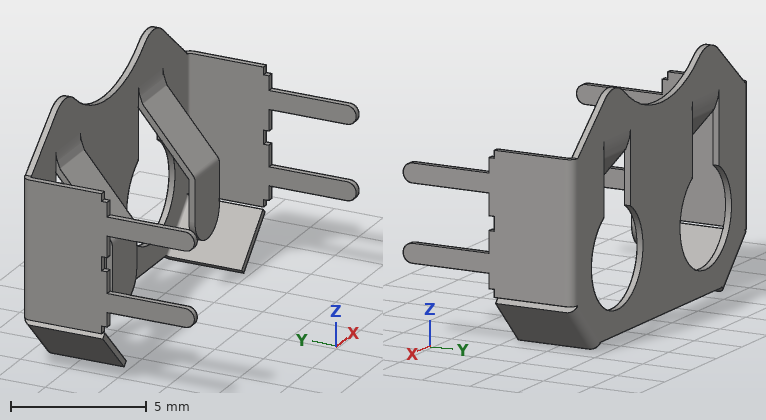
import cadquery as cq
import math


sheet = 0.25
inner_bend = 0.10
outer_bend = inner_bend + sheet

width = 13.72
depth = 7.11
height = 9.65

wall_height = 5.588
flange_depth = 3.302
corner_cut = 1.78
corner_angle = 45

shoulder_depth = 3.53
shoulder_inset = 0.305
notch_width = 0.56
pin_width = 0.762
pin_inset = 1.27

bend_x = width / 2 - outer_bend
wall_bottom = corner_cut
wall_top = wall_bottom + wall_height
plate_top = height - outer_bend * math.sin(math.radians(corner_angle))
slope_angle = math.radians(40)
hump_radius = 1.143

tongue_x = 3.44
tongue_width = 2.032
tongue_top = 7.55
tongue_bottom = 1.57
tongue_depth = 2.56
root_radius = 1.02
root_angle = math.radians(20)
root_length = 0.28
arm_angle = math.radians(40)
hole_diameter = 4.0
hole_z = 2.955


def make_plate():
    """Back plate with sloped shoulders, two humps and a tangent hollow between them."""
    sin_a = math.sin(slope_angle)
    cos_a = math.cos(slope_angle)
    hump_drop = hump_radius * (1 - cos_a)
    hump_reach = hump_radius * sin_a
    hump_end_z = plate_top - hump_drop
    hump_x = bend_x - (hump_end_z - wall_top) / math.tan(slope_angle) - hump_reach
    hollow_edge = hump_x - hump_reach
    hollow_radius = hollow_edge / sin_a
    hollow_z = hump_end_z - hollow_radius * (1 - cos_a)
    bottom_x = bend_x - corner_cut
    return (
        cq.Workplane("XZ")
        .moveTo(-bottom_x, 0)
        .lineTo(bottom_x, 0)
        .lineTo(bend_x, wall_bottom)
        .lineTo(bend_x, wall_top)
        .lineTo(hump_x + hump_reach, hump_end_z)
        .threePointArc((hump_x, plate_top), (hollow_edge, hump_end_z))
        .threePointArc((0, hollow_z), (-hollow_edge, hump_end_z))
        .threePointArc((-hump_x, plate_top), (-hump_x - hump_reach, hump_end_z))
        .lineTo(-bend_x, wall_top)
        .lineTo(-bend_x, wall_bottom)
        .close()
        .extrude(sheet)
    )


def make_flange(length):
    """Bend plus flat blade turning from +X to -Y, with the bend line on the Z axis."""
    diagonal = math.sqrt(0.5)
    return (
        cq.Workplane("XY")
        .moveTo(0, 0)
        .threePointArc(
            (outer_bend * diagonal, outer_bend * (diagonal - 1)),
            (outer_bend, -outer_bend),
        )
        .lineTo(outer_bend, -flange_depth)
        .lineTo(inner_bend, -flange_depth)
        .lineTo(inner_bend, -outer_bend)
        .threePointArc(
            (inner_bend * diagonal, inner_bend * diagonal - outer_bend),
            (0, -sheet),
        )
        .close()
        .extrude(length)
    )


def wall_strip(y_far, z_low, z_high):
    """Flat strip of wall sheet running from the wall's middle out to Y = -y_far."""
    y_near = flange_depth / 2
    return cq.Workplane("XY").box(
        sheet, y_far - y_near, z_high - z_low, centered=False
    ).translate((inner_bend, -y_far, z_low))


def make_side_wall():
    """Right-hand wall with two shoulders, each carrying a round-ended pin."""
    wall = make_flange(wall_height)
    shoulder_height = (wall_height - notch_width) / 2 - shoulder_inset
    pin_radius = pin_width / 2
    pin_round_y = depth - pin_radius
    shoulders = (
        (shoulder_inset, pin_inset),
        (wall_height - shoulder_inset - shoulder_height, wall_height - pin_inset),
    )
    for shoulder_z, pin_z in shoulders:
        shoulder = wall_strip(shoulder_depth, shoulder_z, shoulder_z + shoulder_height)
        pin = wall_strip(pin_round_y, pin_z - pin_radius, pin_z + pin_radius)
        tip = (
            cq.Workplane("YZ", origin=(inner_bend, -pin_round_y, pin_z))
            .circle(pin_radius)
            .extrude(sheet)
        )
        wall = wall.union(shoulder).union(pin).union(tip)
    return wall.translate((bend_x, 0, wall_bottom))


def make_corner_tab():
    """Right-hand lower tab folded along the plate's cut corner."""
    length = corner_cut / math.sin(math.radians(corner_angle))
    return (
        make_flange(length)
        .translate((0, 0, -length))
        .rotate((0, 0, 0), (0, 1, 0), corner_angle)
        .translate((bend_x, 0, wall_bottom))
    )


def make_tongue_opening(x):
    """Slot the tongue is cut from, running down into a round hole."""
    slot = (
        cq.Workplane("XZ")
        .center(x, (tongue_top + hole_z) / 2)
        .rect(tongue_width, tongue_top - hole_z)
        .extrude(sheet)
    )
    hole = cq.Workplane("XZ").center(x, hole_z).circle(hole_diameter / 2).extrude(sheet)
    return slot.union(hole)


def bend_point(start, start_angle, angle, radius):
    """Point reached along a bend; angles lean from straight down toward -Y.

    A positive radius bends away from the plate, a negative one bends back."""
    y = start[0] + radius * (math.cos(angle) - math.cos(start_angle))
    z = start[1] - radius * (math.sin(angle) - math.sin(start_angle))
    return y, z


def step_along(start, angle, length):
    """Point reached along a flat leaning at the given angle."""
    return start[0] - length * math.sin(angle), start[1] - length * math.cos(angle)


def behind(point, angle):
    """Matching point on the rear face of the sheet."""
    return point[0] + sheet * math.cos(angle), point[1] - sheet * math.sin(angle)


def make_tongue(x):
    """Spring tongue: gentle root bend, sloping arm, then a vertical round-ended pad."""
    root_mid_angle = root_angle / 2
    knee_mid_angle = (root_angle + arm_angle) / 2
    tip_mid_angle = arm_angle / 2

    top = (-sheet, tongue_top)
    root_mid = bend_point(top, 0, root_mid_angle, root_radius)
    root_end = bend_point(top, 0, root_angle, root_radius)
    knee = step_along(root_end, root_angle, root_length)
    knee_mid = bend_point(knee, root_angle, knee_mid_angle, inner_bend)
    knee_end = bend_point(knee, root_angle, arm_angle, inner_bend)
    tip_bend_depth = outer_bend * (1 - math.cos(arm_angle))
    arm_length = (tongue_depth - tip_bend_depth + knee_end[0]) / math.sin(arm_angle)
    arm_end = step_along(knee_end, arm_angle, arm_length)
    tip_mid = bend_point(arm_end, arm_angle, tip_mid_angle, -outer_bend)
    tip_end = bend_point(arm_end, arm_angle, 0, -outer_bend)

    strip = (
        cq.Workplane("YZ", origin=(x - tongue_width / 2, 0, 0))
        .moveTo(*top)
        .threePointArc(root_mid, root_end)
        .lineTo(*knee)
        .threePointArc(knee_mid, knee_end)
        .lineTo(*arm_end)
        .threePointArc(tip_mid, tip_end)
        .lineTo(-tongue_depth, tongue_bottom)
        .lineTo(-tongue_depth + sheet, tongue_bottom)
        .lineTo(*behind(tip_end, 0))
        .threePointArc(behind(tip_mid, tip_mid_angle), behind(arm_end, arm_angle))
        .lineTo(*behind(knee_end, arm_angle))
        .threePointArc(behind(knee_mid, knee_mid_angle), behind(knee, root_angle))
        .lineTo(*behind(root_end, root_angle))
        .threePointArc(behind(root_mid, root_mid_angle), behind(top, 0))
        .close()
        .extrude(tongue_width)
    )
    half = tongue_width / 2
    round_z = tongue_bottom + half
    outline = (
        cq.Workplane("XZ")
        .moveTo(x - half, tongue_top)
        .lineTo(x - half, round_z)
        .threePointArc((x, tongue_bottom), (x + half, round_z))
        .lineTo(x + half, tongue_top)
        .close()
        .extrude(tongue_depth)
    )
    return strip.intersect(outline)


result = make_plate()
for flange in (make_side_wall(), make_corner_tab()):
    result = result.union(flange).union(flange.mirror("YZ"))
for side in (-1, 1):
    result = result.cut(make_tongue_opening(side * tongue_x))
    result = result.union(make_tongue(side * tongue_x))